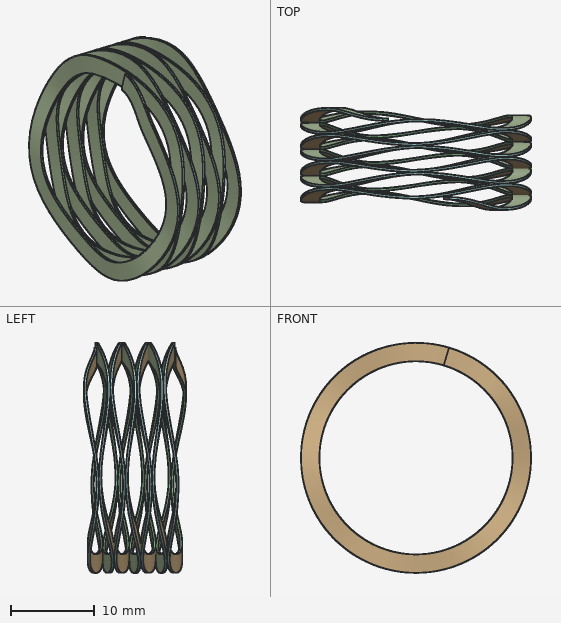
import cadquery as cq
import math

outer_radius = 13.75
wire_width = 2.23
inner_radius = outer_radius - wire_width
wire_thickness = 0.3
total_length = 12.25
clearance = 0.005
turns = 7
waves_per_turn = 3.5
end_cutback = 16.7
points_per_wave = 16

turn_span_of_crests = turns - 1 / waves_per_turn
pitch = (total_length + clearance) / (turn_span_of_crests + 1)
amplitude = (pitch - wire_thickness - clearance) / 2

start_angle = end_cutback
end_angle = 360.0 * turns - end_cutback
half_wave_angle = 180 / waves_per_turn
first_crest_angle = half_wave_angle
last_crest_angle = 360.0 * turns - half_wave_angle
tail_angle = first_crest_angle - start_angle
step_count = round((end_angle - start_angle) / 360 * waves_per_turn * points_per_wave)


def centerline_y(angle):
    """Height along Y: a waved helix whose two tails are a shortened half wave without helix rise."""
    body_angle = min(max(angle, first_crest_angle), last_crest_angle)
    rise = pitch * (body_angle / 360 - turns / 2)
    wave_phase = math.pi * body_angle / half_wave_angle
    tail_phase = math.pi * (angle - body_angle) / tail_angle
    return rise + amplitude * math.cos(wave_phase + tail_phase)


def wire_point(radius, offset, angle):
    """Point on the coil; angle in degrees runs from the top (+Z) towards +X."""
    around = math.radians(angle)
    return cq.Vector(radius * math.sin(around), centerline_y(angle) + offset, radius * math.cos(around))


def wire_edge(radius, offset):
    """One of the four long corner edges of the wire."""
    angle_step = (end_angle - start_angle) / step_count
    points = [wire_point(radius, offset, start_angle + i * angle_step) for i in range(step_count + 1)]
    return cq.Edge.makeSpline(points)


def end_face(corners, angle):
    """Rectangular face closing the wire at the given angle."""
    outline = [wire_point(radius, offset, angle) for radius, offset in corners]
    return cq.Face.makeFromWires(cq.Wire.makePolygon(outline, close=True))


half_thickness = wire_thickness / 2
section_corners = [
    (inner_radius, -half_thickness),
    (outer_radius, -half_thickness),
    (outer_radius, half_thickness),
    (inner_radius, half_thickness),
]

long_edges = [wire_edge(radius, offset) for radius, offset in section_corners]
faces = [cq.Face.makeRuledSurface(long_edges[i - 1], long_edges[i]) for i in range(len(long_edges))]
faces += [end_face(section_corners, angle) for angle in (start_angle, end_angle)]

spring = cq.Solid.makeSolid(cq.Shell.makeShell(faces))
result = cq.Workplane("XY").newObject([spring.fix()])